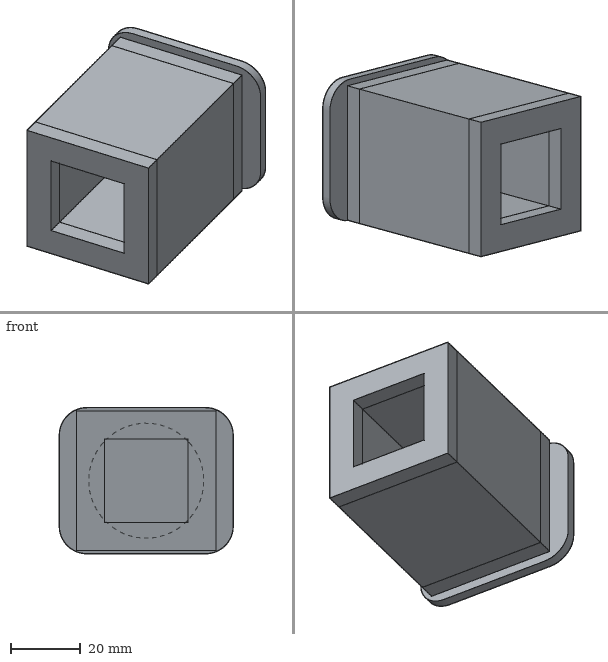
import cadquery as cq

housing_width = 40.0
opening_width = 24.0
end_thickness = 5.0
tube_length = 45.0

plate_width = 50.0
plate_height = 42.0
plate_thickness = 3.0
plate_corner_radius = 8.0
neck_diameter = 33.0
total_length = 60.0
neck_length = total_length - plate_thickness - tube_length - 2 * end_thickness

tube_start = end_thickness
back_cap_start = tube_start + tube_length
neck_start = back_cap_start + end_thickness
plate_start = neck_start + neck_length


def section_plane(y_start):
    """XZ workplane at y_start; a negative extrusion goes toward +Y."""
    return cq.Workplane("XZ", origin=(0, y_start, 0))


def square_block(y_start, length):
    return section_plane(y_start).rect(housing_width, housing_width).extrude(-length)


def square_ring(y_start, length):
    opening = section_plane(y_start).rect(opening_width, opening_width).extrude(-length)
    return square_block(y_start, length).cut(opening)


def mounting_flange():
    neck = section_plane(neck_start).circle(neck_diameter / 2).extrude(-neck_length)
    plate = (
        section_plane(plate_start)
        .rect(plate_width, plate_height)
        .extrude(-plate_thickness)
        .edges("|Y")
        .fillet(plate_corner_radius)
    )
    return plate.union(neck)


front_frame = square_ring(0, end_thickness)
tube = square_ring(tube_start, tube_length)
back_cap = square_block(back_cap_start, end_thickness)
flange = mounting_flange()

result = cq.Compound.makeCompound(
    [front_frame.val(), tube.val(), back_cap.val(), flange.val()]
)